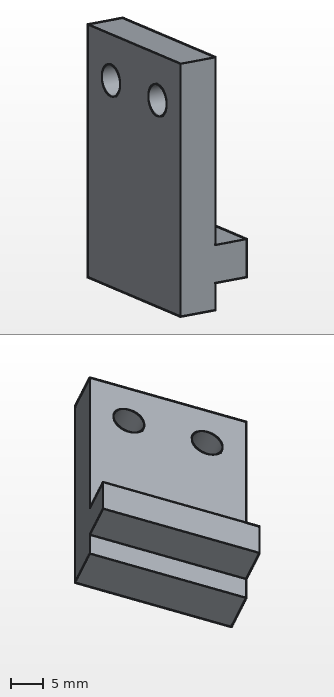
import cadquery as cq

width = 25.4
height = 40.0
total_depth = 12.05
plate_thickness = 6.35

rib_bottom = 4.3
rib_height = 6.05
rib_depth = total_depth - plate_thickness

hole_diameter = 5.0
hole_spacing = width / 2
hole_drop = 7.32


def make_block(depth, block_height, front, bottom):
    """Full-width block centred on X, starting at the given Y and Z."""
    block = cq.Workplane("XY").box(width, depth, block_height, centered=(True, False, False))
    return block.translate((0, front, bottom))


plate = make_block(plate_thickness, height, 0, 0)
rib = make_block(rib_depth, rib_height, plate_thickness, rib_bottom)

hole_cutters = (
    cq.Workplane("XZ")
    .pushPoints([(side * hole_spacing / 2, height - hole_drop) for side in (-1, 1)])
    .circle(hole_diameter / 2)
    .extrude(-plate_thickness)
)

result = plate.union(rib).cut(hole_cutters)